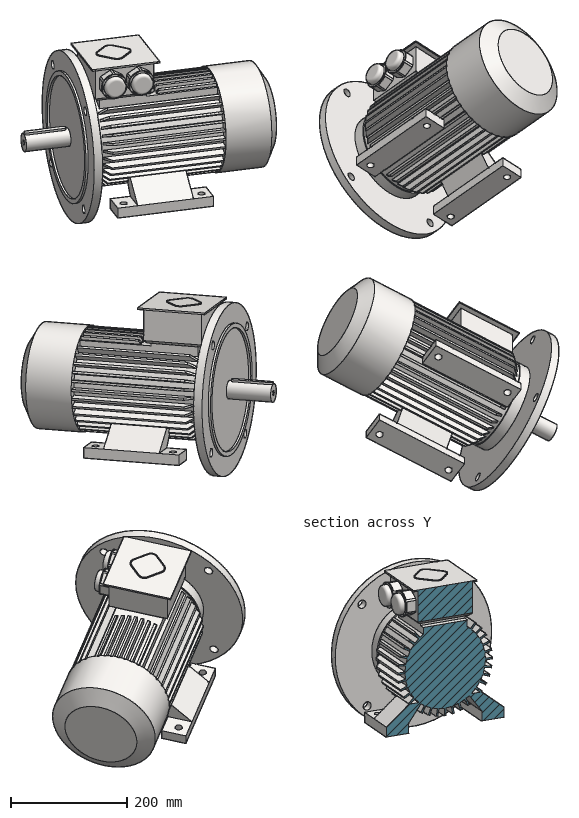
import cadquery as cq
import math


shaft_d = 32.0
shaft_length = 80.0
centre_hole_d = 8.3
key_width = 9.5
key_length = 75.3
key_top = 19.0
key_end_gap = 0.5

flange_d = 300.0
flange_thickness = 15.2
spigot_d = 230.0
spigot_recess_d = 214.0
spigot_height = 4.0
bolt_circle_d = 265.5
bolt_hole_d = 15.0
bolt_count = 4
bolt_start_angle = 42.0

neck_d = 160.0
neck_back = 35.0
core_d = 155.0
cowl_d = 185.0
cowl_front = 255.5
cowl_taper_start = 337.5
cowl_back = 435.0 - shaft_length
cowl_end_d = 129.0

fin_d = 182.0
fin_thickness = 4.0
fin_front = 38.0
fin_chamfer = 15.0
fin_step = 10
first_fin_angle = 130
last_fin_angle = 410
top_fin_pitch = 11.7
top_fins_per_side = 3
top_fin_front = 148.0
top_fin_chamfer = 4.0

box_y = 85.3
saddle_width = 85.0
saddle_length = 85.0
saddle_flat_z = core_d / 2
box_width = 105.0
box_base = 83.0
box_chamfer = 5.2
lid_width = 121.5
lid_bottom = 144.5
lid_thickness = 3.0
badge_y = 81.8
badge_side = 51.0
badge_corner_radius = 11.7
badge_height = 1.5
badge_rim = 1.7
badge_recess = 0.5

gland_spacing = 48.7
gland_z = 116.0
nut_across_flats = 41.5
nut_d = 45.5
nut_hex_end = 70.5
nut_end = 72.0
cap_d = 38.0
cap_end = 82.5
cap_fillet = 5.2

foot_y = 140.0
foot_outer_x = 113.0
foot_inner_x = 69.5
foot_length = 172.3
foot_top = -93.5
foot_bottom = -112.2
foot_hole_d = 12.0
foot_hole_x = 95.3
foot_hole_spacing_y = 140.0
pad_length = 100.5
pad_top = -58.5
pad_top_outer_x = 69.5
pad_top_inner_x = 43.5


def disc(diameter, y_start, y_end):
    """Cylinder on the shaft axis between two Y positions."""
    plane = cq.Workplane("XZ", origin=(0, y_start, 0))
    return plane.circle(diameter / 2).extrude(y_start - y_end)


def block(width, length, y_centre, z_low, z_high):
    """Box centred on X = 0, between two heights."""
    plane = cq.Workplane("XY", origin=(0, y_centre, z_low))
    return plane.rect(width, length).extrude(z_high - z_low)


def turned(profile):
    """Solid of revolution about the shaft axis from (radius, Y) points."""
    return cq.Workplane("XY").polyline(profile).close().revolve(360, (0, 0, 0), (0, 1, 0))


def fin_envelope(y_front, chamfer):
    """Solid of revolution that trims fins, chamfered at its front end."""
    radius = fin_d / 2
    return turned([
        (0, y_front),
        (radius - chamfer, y_front),
        (radius, y_front + chamfer),
        (radius, cowl_front),
        (0, cowl_front),
    ])


def flange():
    body = disc(flange_d, 0, flange_thickness)
    spigot = disc(spigot_d, -spigot_height, 0).cut(disc(spigot_recess_d, -spigot_height, 0))
    holes = (
        cq.Workplane("XZ")
        .polarArray(bolt_circle_d / 2, bolt_start_angle, 360, bolt_count)
        .circle(bolt_hole_d / 2)
        .extrude(-flange_thickness)
    )
    return body.union(spigot).cut(holes)


def shaft():
    body = disc(shaft_d, -shaft_length, 0)
    key_y = -shaft_length + key_end_gap + key_length / 2
    key = cq.Workplane("XY", origin=(0, key_y, 0)).slot2D(key_length, key_width, 90).extrude(key_top)
    hole_radius = centre_hole_d / 2
    centre_hole = turned([
        (0, -shaft_length),
        (hole_radius, -shaft_length),
        (0, hole_radius - shaft_length),
    ])
    return body.union(key).cut(centre_hole)


def housing():
    neck = disc(neck_d, flange_thickness, neck_back)
    core = disc(core_d, neck_back, cowl_front)
    cowl = turned([
        (0, cowl_front),
        (cowl_d / 2, cowl_front),
        (cowl_d / 2, cowl_taper_start),
        (cowl_end_d / 2, cowl_back),
        (0, cowl_back),
    ])
    return neck.union(core).union(cowl)


def radial_fins():
    length = cowl_front - fin_front
    fins = cq.Workplane("XY")
    for angle in range(first_fin_angle, last_fin_angle + 1, fin_step):
        fin = (
            cq.Workplane("XY")
            .box(fin_d / 2, length, fin_thickness, centered=(False, False, True))
            .translate((0, fin_front, 0))
            .rotate((0, 0, 0), (0, 1, 0), -angle)
        )
        fins = fins.union(fin)
    return fins.intersect(fin_envelope(fin_front, fin_chamfer))


def top_fins():
    y_centre = (top_fin_front + cowl_front) / 2
    fins = cq.Workplane("XY")
    for index in range(-top_fins_per_side, top_fins_per_side + 1):
        fin = block(fin_thickness, cowl_front - top_fin_front, y_centre, 0, fin_d / 2)
        fins = fins.union(fin.translate((index * top_fin_pitch, 0, 0)))
    return fins.intersect(fin_envelope(top_fin_front, top_fin_chamfer))


def terminal_box():
    """Flat-topped rail on the housing, with the saddle, box, lid and badge above it."""
    rail_front = box_y - saddle_length / 2
    rail_length = cowl_front - rail_front
    rail = block(saddle_width, rail_length, rail_front + rail_length / 2, 0, saddle_flat_z)
    saddle = block(saddle_width, saddle_length, box_y, 0, box_base)
    body = block(box_width, box_width, box_y, box_base, lid_bottom).faces("<Z").chamfer(box_chamfer)
    lid_top = lid_bottom + lid_thickness
    lid = block(lid_width, lid_width, box_y, lid_bottom, lid_top)
    return rail.union(saddle).union(body).union(lid).union(badge(lid_top))


def badge(z_low):
    """Diamond plate with rounded corners and a thin raised rim."""
    plate = block(badge_side, badge_side, 0, 0, badge_height).edges("|Z").fillet(badge_corner_radius)
    recess_side = badge_side - 2 * badge_rim
    recess = block(recess_side, recess_side, 0, badge_height - badge_recess, badge_height)
    recess = recess.edges("|Z").fillet(badge_corner_radius - badge_rim)
    return plate.cut(recess).rotate((0, 0, 0), (0, 0, 1), 45).translate((0, badge_y, z_low))


def gland(y):
    """Hexagonal nut with rounded corners, a collar and a domed cap, pointing along +X."""
    def section(x):
        return cq.Workplane("YZ", origin=(x, y, gland_z))

    nut_start = box_width / 2
    nut_length = nut_hex_end - nut_start
    across_corners = nut_across_flats / math.cos(math.radians(30))
    hexagon = section(nut_start).transformed(rotate=(0, 0, 90)).polygon(6, across_corners).extrude(nut_length)
    nut = hexagon.intersect(section(nut_start).circle(nut_d / 2).extrude(nut_length))
    collar = section(nut_hex_end).circle(nut_d / 2).extrude(nut_end - nut_hex_end)
    cap = section(nut_end).circle(cap_d / 2).extrude(cap_end - nut_end).faces(">X").edges().fillet(cap_fillet)
    return nut.union(collar).union(cap)


def foot():
    """Foot on the +X side: a drilled plate and a sloped pad that runs up into the housing."""
    foot_x = (foot_inner_x + foot_outer_x) / 2
    plate_width = foot_outer_x - foot_inner_x
    plate = block(plate_width, foot_length, foot_y, foot_bottom, foot_top).translate((foot_x, 0, 0))
    holes = (
        cq.Workplane("XY", origin=(foot_hole_x, foot_y, foot_bottom))
        .rarray(4.5, foot_hole_spacing_y, 1, 2)
        .circle(foot_hole_d / 2)
        .extrude(foot_top - foot_bottom)
    )
    pad_profile = [
        (foot_inner_x, foot_top),
        (foot_outer_x, foot_top),
        (pad_top_outer_x, pad_top),
        (pad_top_inner_x, pad_top),
    ]
    pad_plane = cq.Workplane("XZ", origin=(0, foot_y, 0))
    pad = pad_plane.polyline(pad_profile).close().extrude(pad_length / 2, both=True)
    return plate.cut(holes).union(pad)


result = flange().union(shaft()).union(housing()).union(radial_fins()).union(top_fins())
result = result.union(foot()).union(foot().mirror("YZ")).union(terminal_box())
for side in (-1, 1):
    result = result.union(gland(box_y + side * gland_spacing / 2))